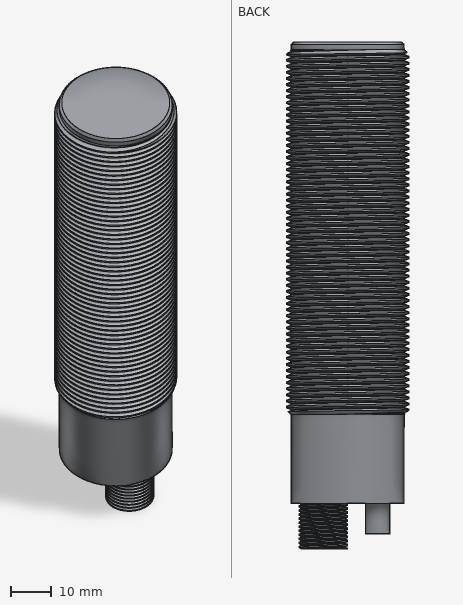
import cadquery as cq

total_height = 124.5
body_diameter = 27.8
base_bottom = 11.2
base_top = 33.0
rim_top_chamfer = 0.6

barrel_major = 30.0
barrel_root = body_diameter
barrel_pitch = 1.5
barrel_turns = 60
barrel_top = base_top + barrel_turns * barrel_pitch
barrel_phase = 90.0
barrel_lead_in = (1.1, 1.1)

connector_x = 6.0
connector_major = 12.0
connector_root = 10.8
connector_pitch = 1.0
connector_phase = 0.0
connector_turns = 12
connector_lead_in = (0.1, 0.1)

pin_x = -7.3
pin_diameter = 6.0
pin_bottom = 3.7

crest_fraction = 0.2
root_fraction = 0.14
groove_overrun = 0.1

sample_turns = 4
slab_diameter = 2 * barrel_major
cut_tolerance = 0.001


def cylinder(diameter, bottom, top, x=0.0):
    return cq.Workplane("XY", origin=(x, 0, bottom)).circle(diameter / 2).extrude(top - bottom)


def helical_groove(major, root, pitch, phase):
    """Right-handed V cutter with a flat tip that overruns both ends of the sample by one pitch."""
    root_radius = root / 2
    outer_radius = major / 2 + groove_overrun
    half_root = root_fraction * pitch / 2
    half_mouth = (1 - crest_fraction) * pitch / 2
    corners = [
        (root_radius, -half_root),
        (outer_radius, -half_mouth),
        (outer_radius, half_mouth),
        (root_radius, half_root),
    ]
    edges = [
        cq.Wire.makeHelix(pitch, pitch, radius).translate(cq.Vector(0, 0, offset)).Edges()[0]
        for radius, offset in corners
    ]
    turn_faces = [cq.Face.makeRuledSurface(edges[i - 1], edges[i]) for i in range(len(edges))]
    end_points = [cq.Vector(radius, 0, offset) for radius, offset in corners]
    end_face = cq.Face.makeFromWires(cq.Wire.makePolygon(end_points, close=True))

    turns = sample_turns + 2
    faces = [end_face, end_face.translate(cq.Vector(0, 0, turns * pitch))]
    for turn in range(turns):
        faces += [face.translate(cq.Vector(0, 0, turn * pitch)) for face in turn_faces]
    groove = cq.Solid.makeSolid(cq.Shell.makeShell(faces))
    groove = groove.rotate(cq.Vector(0, 0, 0), cq.Vector(0, 0, 1), phase)
    return cq.Workplane("XY").add(groove.translate(cq.Vector(0, 0, -pitch)))


def end_tapered_cylinder(diameter, height, taper_height, taper_depth):
    """Upright cylinder on Z = 0 with a cone at either end."""
    radius = diameter / 2
    outline = [
        (0, 0),
        (radius - taper_depth, 0),
        (radius, taper_height),
        (radius, height - taper_height),
        (radius - taper_depth, height),
        (0, height),
    ]
    return cq.Workplane("XZ").polyline(outline).close().revolve(360, (0, 0, 0), (0, 1, 0))


def side_faces(sample, bottom, top, is_first=False, is_last=False):
    """Faces of the sample rod between two heights, without the flat faces of inner cuts."""
    slab = sample.intersect(cylinder(slab_diameter, bottom, top), clean=False)
    kept = []
    for face in slab.faces().vals():
        height = face.Center().z
        at_bottom_cut = abs(height - bottom) < cut_tolerance and not is_first
        at_top_cut = abs(height - top) < cut_tolerance and not is_last
        if face.geomType() == "PLANE" and (at_bottom_cut or at_top_cut):
            continue
        kept.append(face)
    return kept


def threaded_rod(major, root, pitch, turns, phase, lead_in):
    """Threaded rod standing on Z = 0, sewn together from identical turns and two tapered ends."""
    sample_height = sample_turns * pitch
    blank = end_tapered_cylinder(major, sample_height, *lead_in)
    sample = blank.cut(helical_groove(major, root, pitch, phase), clean=False)

    first_turn = side_faces(sample, 0, pitch, is_first=True)
    middle_turn = side_faces(sample, pitch, 2 * pitch)
    last_turn = side_faces(sample, sample_height - pitch, sample_height, is_last=True)

    faces = list(first_turn)
    for turn in range(turns - 2):
        faces += [face.translate(cq.Vector(0, 0, turn * pitch)) for face in middle_turn]
    top_shift = cq.Vector(0, 0, (turns - sample_turns) * pitch)
    faces += [face.translate(top_shift) for face in last_turn]
    return cq.Workplane("XY").add(cq.Solid.makeSolid(cq.Shell.makeShell(faces)))


barrel = threaded_rod(
    barrel_major, barrel_root, barrel_pitch, barrel_turns, barrel_phase, barrel_lead_in
).translate((0, 0, base_top))
connector = threaded_rod(
    connector_major, connector_root, connector_pitch, connector_turns, connector_phase, connector_lead_in
).translate((connector_x, 0, 0))

base = cylinder(body_diameter, base_bottom, base_top)
rim = cylinder(body_diameter, barrel_top, total_height).faces(">Z").chamfer(rim_top_chamfer)
pin = cylinder(pin_diameter, pin_bottom, base_bottom, pin_x)

result = base.union(barrel).union(rim).union(connector).union(pin)